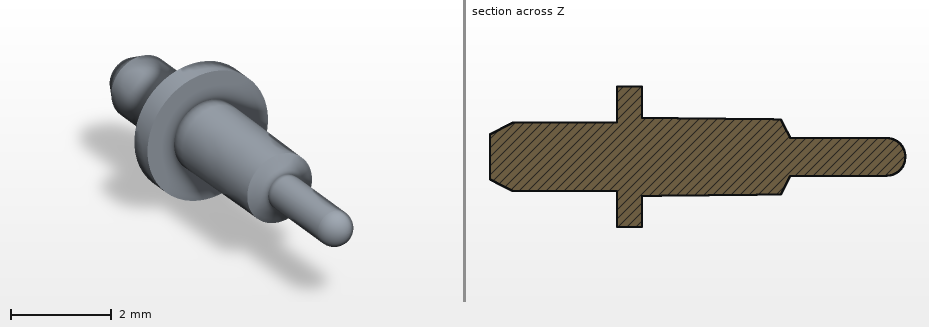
import cadquery as cq


total_length = 8.26
tail_chamfer_length = 0.455
flange_start = 2.52
flange_thickness = 0.5
barrel_length = 2.76
shoulder_length = 0.19

tail_tip_diameter = 0.9
tail_diameter = 1.37
flange_diameter = 2.8
barrel_root_diameter = 1.56
barrel_end_diameter = 1.5
plunger_diameter = 0.76

flange_end = flange_start + flange_thickness
barrel_end = flange_end + barrel_length
shoulder_end = barrel_end + shoulder_length
tail_radius = tail_diameter / 2
flange_radius = flange_diameter / 2
plunger_radius = plunger_diameter / 2
dome_center = total_length - plunger_radius
dome_mid_offset = plunger_radius / 2**0.5

profile = (
    cq.Workplane("XY")
    .moveTo(0, 0)
    .lineTo(0, tail_tip_diameter / 2)
    .lineTo(tail_chamfer_length, tail_radius)
    .lineTo(flange_start, tail_radius)
    .lineTo(flange_start, flange_radius)
    .lineTo(flange_end, flange_radius)
    .lineTo(flange_end, barrel_root_diameter / 2)
    .lineTo(barrel_end, barrel_end_diameter / 2)
    .lineTo(shoulder_end, plunger_radius)
    .lineTo(dome_center, plunger_radius)
    .threePointArc((dome_center + dome_mid_offset, dome_mid_offset), (total_length, 0))
    .close()
)

result = profile.revolve(360, (0, 0, 0), (1, 0, 0))